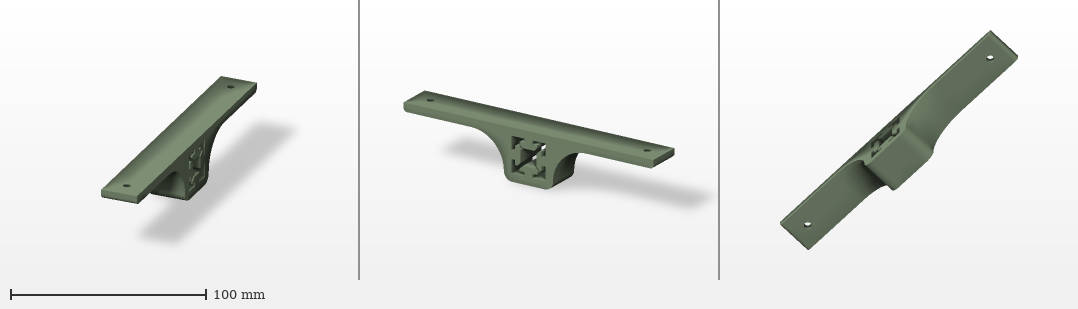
import cadquery as cq

length = 152.0
width = 20.0
height = 30.0
plate_thickness = 5.0
end_radius = 2.0

hub_half_width = height / 2
hub_corner_radius = 5.0
flare_radius = height - plate_thickness - hub_corner_radius

window_size = 20.7
stem_width = 5.0
head_width = 10.6
head_outer_offset = 8.0
head_inner_offset = 4.9
head_chamfer = 1.8

hole_diameter = 4.0
hole_end_distance = 10.0

hub_center_z = height / 2
plate_bottom_z = height - plate_thickness


def bracket_body():
    """Plate and hub: the YZ outline extruded across the width."""
    flare_end_y = hub_half_width + flare_radius
    hub_flat_half_width = hub_half_width - hub_corner_radius
    body = (
        cq.Workplane("YZ")
        .moveTo(-length / 2, height)
        .lineTo(length / 2, height)
        .lineTo(length / 2, plate_bottom_z)
        .lineTo(flare_end_y, plate_bottom_z)
        .radiusArc((hub_half_width, hub_corner_radius), -flare_radius)
        .radiusArc((hub_flat_half_width, 0), hub_corner_radius)
        .lineTo(-hub_flat_half_width, 0)
        .radiusArc((-hub_half_width, hub_corner_radius), hub_corner_radius)
        .radiusArc((-flare_end_y, plate_bottom_z), -flare_radius)
        .lineTo(-length / 2, plate_bottom_z)
        .close()
        .extrude(width / 2, both=True)
    )
    for end in ("<Y", ">Y"):
        body = body.faces(end).edges("<Z").fillet(end_radius)
    return body


def tongue():
    """T-shaped tongue reaching down from the top wall of the window."""
    half_window = window_size / 2
    half_stem = stem_width / 2
    half_head = head_width / 2
    right_side = [
        (half_stem, half_window),
        (half_stem, head_outer_offset),
        (half_head, head_outer_offset),
        (half_head, head_inner_offset + head_chamfer),
        (half_head - head_chamfer, head_inner_offset),
    ]
    left_side = [(-y, z) for y, z in reversed(right_side)]
    return (
        cq.Workplane("YZ")
        .polyline(right_side + left_side)
        .close()
        .extrude(width / 2, both=True)
    )


def window_cutter():
    """Square through opening, less the four tongues left standing in it."""
    cutter = cq.Workplane("YZ").rect(window_size, window_size).extrude(width / 2, both=True)
    for quarter_turn in range(4):
        cutter = cutter.cut(tongue().rotate((0, 0, 0), (1, 0, 0), 90 * quarter_turn))
    return cutter.translate((0, 0, hub_center_z))


def mounting_holes():
    """Through holes near both ends of the plate."""
    hole_y = length / 2 - hole_end_distance
    return (
        cq.Workplane("XY", origin=(0, 0, plate_bottom_z))
        .pushPoints([(0, -hole_y), (0, hole_y)])
        .circle(hole_diameter / 2)
        .extrude(plate_thickness)
    )


result = bracket_body().cut(window_cutter()).cut(mounting_holes())